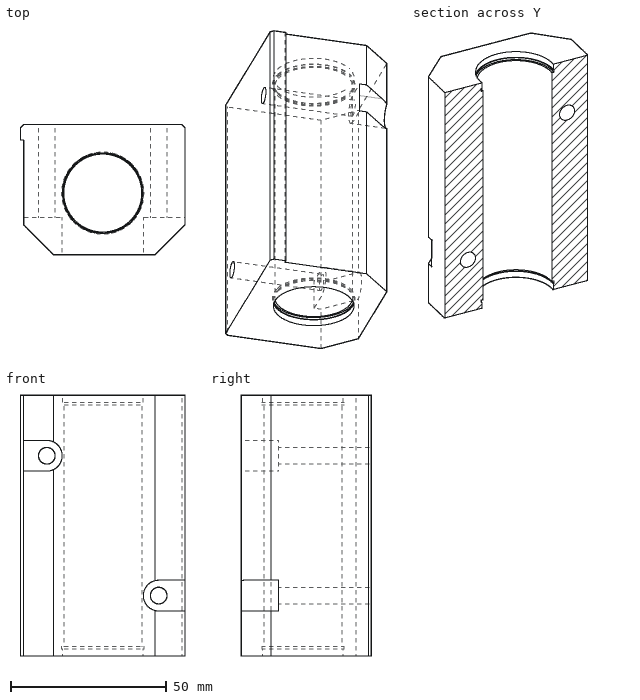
import cadquery as cq

width = 53.0
depth = 42.0
height = 84.0
front_chamfer = 9.7
back_chamfer = 1.0
lip_width = 1.0
lip_depth = 5.0

bore_diameter = 25.1
bore_from_back = 22.1
mouth_diameter = 25.95
mouth_depth = 2.3
groove_diameter = 26.5
groove_width = 0.8

hole_diameter = 5.3
hole_spacing = 36.0
hole_from_end = 19.5
slot_width = 9.9
slot_depth = 12.0

right = width / 2
lip_left = -right
left = lip_left + lip_width
bore_y = depth - bore_from_back


def make_block():
    """Extrude the chamfered profile with the narrow lip on its left back edge."""
    outline = [
        (left + front_chamfer, 0),
        (right - front_chamfer, 0),
        (right, front_chamfer),
        (right, depth - back_chamfer),
        (right - back_chamfer, depth),
        (lip_left + back_chamfer, depth),
        (lip_left, depth - back_chamfer),
        (lip_left, depth - lip_depth),
        (left, depth - lip_depth),
        (left, front_chamfer),
    ]
    return cq.Workplane("XY").polyline(outline).close().extrude(height)


def make_bore():
    """Through bore joined with a mouth and a ring groove at the base and the top."""

    def disc(diameter, start_z, length):
        return cq.Workplane("XY", origin=(0, bore_y, start_z)).circle(diameter / 2).extrude(length)

    groove_end = mouth_depth + groove_width
    bore = disc(bore_diameter, 0, height)
    for mouth_z in (0, height - mouth_depth):
        bore = bore.union(disc(mouth_diameter, mouth_z, mouth_depth))
    for groove_z in (mouth_depth, height - groove_end):
        bore = bore.union(disc(groove_diameter, groove_z, groove_width))
    return bore


def make_screw_seat(side, hole_z):
    """Slot and through hole; side is -1 for the left and 1 for the right."""
    hole_x = side * hole_spacing / 2
    plane = cq.Workplane("XZ", origin=(hole_x, 0, hole_z))
    hole = plane.circle(hole_diameter / 2).extrude(-depth)
    round_end = plane.circle(slot_width / 2).extrude(-slot_depth)
    run_length = width / 2
    open_run = plane.center(side * run_length / 2, 0).rect(run_length, slot_width).extrude(-slot_depth)
    return hole.union(round_end).union(open_run)


result = make_block().cut(make_bore())
for side, hole_z in ((-1, height - hole_from_end), (1, hole_from_end)):
    result = result.cut(make_screw_seat(side, hole_z))